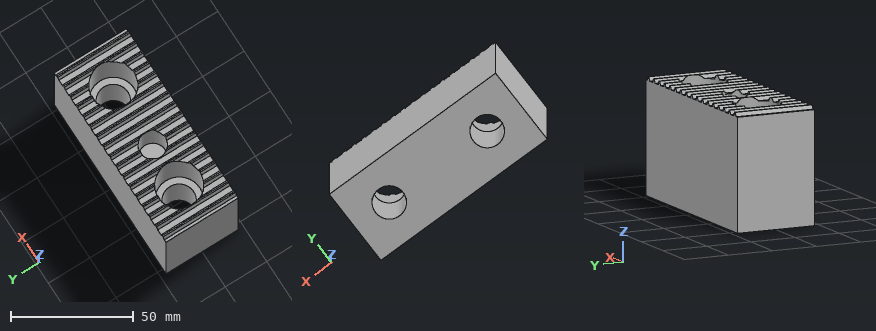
import cadquery as cq

length = 85.0
width = 35.0
height = 50.0

tooth_count = 17
tooth_pitch = length / tooth_count
tooth_height = 1.6
tooth_root_width = tooth_pitch / 2
tooth_tip_width = 0.6
body_height = height - tooth_height

bolt_hole_offset = 5 * tooth_pitch
bolt_hole_diameter = 14.0
counterbore_diameter = 20.0
counterbore_depth = height / 2

blind_hole_x = -tooth_pitch
blind_hole_diameter = 12.0
blind_hole_depth = 20.0


def toothed_block():
    """Extrude the block together with its row of trapezoidal teeth."""
    outline = [(length / 2, 0), (-length / 2, 0), (-length / 2, body_height)]
    for index in range(tooth_count):
        center = -length / 2 + (index + 0.5) * tooth_pitch
        outline += [
            (center - tooth_root_width / 2, body_height),
            (center - tooth_tip_width / 2, height),
            (center + tooth_tip_width / 2, height),
            (center + tooth_root_width / 2, body_height),
        ]
    outline.append((length / 2, body_height))
    return cq.Workplane("XZ").polyline(outline).close().extrude(width / 2, both=True)


def hole_from_top(x, diameter, depth):
    """Cylinder reaching down from the tooth tips, on the lengthwise centreline."""
    return cq.Workplane("XY", origin=(x, 0, height)).circle(diameter / 2).extrude(-depth)


result = toothed_block()
for bolt_hole_x in (-bolt_hole_offset, bolt_hole_offset):
    result = result.cut(hole_from_top(bolt_hole_x, bolt_hole_diameter, height))
    result = result.cut(hole_from_top(bolt_hole_x, counterbore_diameter, counterbore_depth))
result = result.cut(hole_from_top(blind_hole_x, blind_hole_diameter, blind_hole_depth))